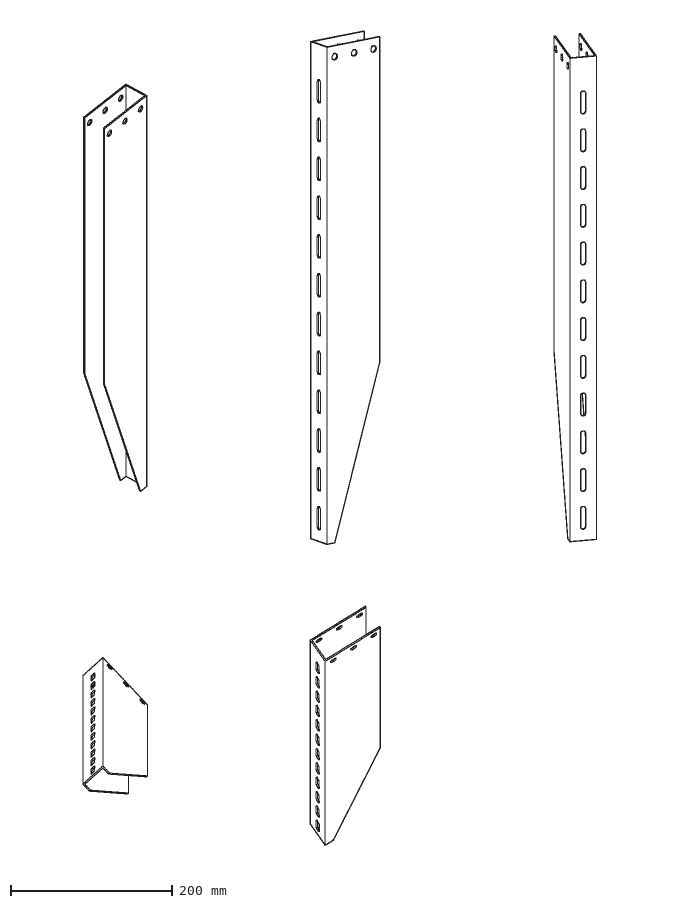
import cadquery as cq

width = 34.0
depth = 82.0
height = 640.0
wall = 2.0

taper_height = 221.5
foot_depth = 12.0

slot_count = 12
slot_length = 30.0
slot_width = 6.5
top_slot_drop = 60.0
bottom_slot_rise = 30.0
slot_pitch = (height - top_slot_drop - bottom_slot_rise) / (slot_count - 1)

hole_diameter = 8.0
hole_count = 3
hole_pitch = 30.0
hole_drop = 14.0
first_hole_inset = 12.0

back = depth / 2
front = -depth / 2


def make_channel():
    """Extrude the flange outline across the width, then clear the inside."""
    outline = [
        (back, 0),
        (back, height),
        (front, height),
        (front, taper_height),
        (back - foot_depth, 0),
    ]
    body = cq.Workplane("YZ").polyline(outline).close().extrude(width / 2, both=True)
    inside = (
        cq.Workplane("XY")
        .box(width - 2 * wall, depth, height, centered=(True, True, False))
        .translate((0, -wall, 0))
    )
    return body.cut(inside)


def web_slots():
    """Round-ended cutters through the web."""
    centres = [(0, bottom_slot_rise + i * slot_pitch) for i in range(slot_count)]
    return (
        cq.Workplane("XZ", origin=(0, back, 0))
        .pushPoints(centres)
        .slot2D(slot_length, slot_width, 90)
        .extrude(wall)
    )


def flange_holes():
    """Round cutters crossing both flanges."""
    centres = [
        (back - first_hole_inset - i * hole_pitch, height - hole_drop)
        for i in range(hole_count)
    ]
    return (
        cq.Workplane("YZ")
        .pushPoints(centres)
        .circle(hole_diameter / 2)
        .extrude(width / 2, both=True)
    )


result = make_channel().cut(web_slots()).cut(flange_holes())